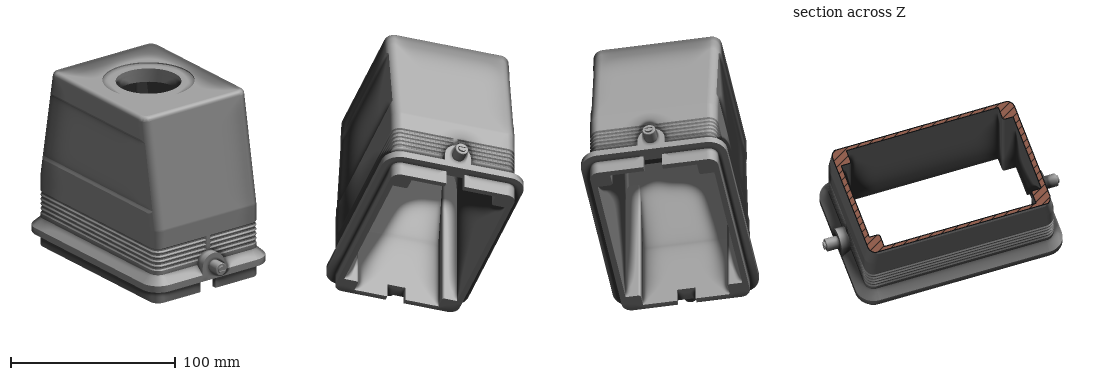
import cadquery as cq
import math

height = 118.0
body_half_x = 60.5
body_half_y = 39.5
top_half_x = 47.75
knee_z = 47.5
knee_blend_radius = 6.0
corner_radius = 6.0
top_edge_radius = 3.0

collar_half_x = 66.0
collar_half_y = 45.0
collar_bottom = 9.25
collar_edge_z = 13.5
collar_top = 18.5
collar_corner_radius = collar_half_x - body_half_x + corner_radius

groove_count = 5
groove_pitch = 3.0
groove_width = 2.5
groove_depth = 0.75
grooves_top = 35.75
grooves_bottom = grooves_top - (groove_count - 1) * groove_pitch - groove_width
web_half_width = 1.25
web_runout_radius = 3.0

panel_depth = 1.0
panel_slope_height = 2.0
panel_bottom = 57.5
panel_top = 103.5

wall = 3.5
ceiling_z = 108.5
post_inner_x = 48.5
post_width = 9.25
post_edge_radius = 1.5
entry_radius = 20.0
entry_seat_radius = 28.0
entry_seat_depth = 0.75

pin_z = 18.0
lug_radius = 8.25
pin_radius = 4.0
pin_end_x = 74.0
pin_end_chamfer = 0.3
neck_radius = 3.8
neck_length = 0.75
stub_radius = 2.5
stub_end_x = 75.25
stub_slot_width = 1.0
stub_slot_depth = 0.6
notch_half_width = 5.75


def box_between(x0, x1, y0, y1, z0, z1):
    """Box given by its limits along each axis."""
    return cq.Workplane("XY").box(x1 - x0, y1 - y0, z1 - z0, centered=False).translate((x0, y0, z0))


def rounded_block(half_x, half_y, radius, z0, z1):
    """Upright block with rounded vertical edges."""
    block = box_between(-half_x, half_x, -half_y, half_y, z0, z1)
    return block.edges("|Z").fillet(radius)


def house_block(inset, top, edge_radius):
    """Body envelope shrunk by `inset` and cut level at `top`, with blended knees and rounded corners."""
    slope = (body_half_x - top_half_x) / (height - knee_z)
    base_x = body_half_x - inset
    roof_x = base_x - slope * (top - knee_z)
    half_y = body_half_y - inset
    block = (
        cq.Workplane("XZ")
        .moveTo(-base_x, 0)
        .lineTo(base_x, 0)
        .lineTo(base_x, knee_z)
        .lineTo(roof_x, top)
        .lineTo(-roof_x, top)
        .lineTo(-base_x, knee_z)
        .close()
        .extrude(half_y, both=True)
    )
    for side in (-1, 1):
        knee = cq.selectors.NearestToPointSelector((side * base_x, 0, knee_z))
        block = block.edges(knee).fillet(knee_blend_radius)
    return block.faces("<Y or >Y").edges("not #Z").fillet(edge_radius)


def body():
    """Outer body with its rounded roof edge."""
    return house_block(0, height, corner_radius).faces(">Z").edges().fillet(top_edge_radius)


def collar():
    """Band around the body with a sloping upper face."""
    band = rounded_block(collar_half_x, collar_half_y, collar_corner_radius, collar_bottom, collar_top)
    return band.faces(">Z").edges().chamfer(collar_top - collar_edge_z, collar_half_x - body_half_x)


def sloped_slab(base_z, rise):
    """Body-sized slab whose sides lean inwards at 45 degrees; a negative rise points down."""
    return (
        cq.Workplane("XY", origin=(0, 0, base_z))
        .sketch()
        .rect(2 * body_half_x, 2 * body_half_y)
        .vertices()
        .fillet(corner_radius)
        .finalize()
        .extrude(rise, taper=45)
    )


def groove_ring(top):
    """Cutter for one trapezoidal groove running around the body."""
    bottom = top - groove_width
    ring = rounded_block(collar_half_x, collar_half_y, collar_corner_radius, bottom, top)
    floor = rounded_block(
        body_half_x - groove_depth,
        body_half_y - groove_depth,
        corner_radius - groove_depth,
        bottom,
        top,
    )
    return ring.cut(floor).cut(sloped_slab(bottom, groove_depth)).cut(sloped_slab(top, -groove_depth))


def groove_web(side):
    """Upright web in the middle of one narrow end, where the grooves run out along an arc."""
    outer_x = side * body_half_x
    root_x = side * (body_half_x - groove_depth)
    runout_angle = math.acos(1 - groove_depth / web_runout_radius)
    root_half_width = web_half_width + web_runout_radius * math.sin(runout_angle)
    mid_x = root_x + side * web_runout_radius * (1 - math.cos(runout_angle / 2))
    mid_half_width = root_half_width - web_runout_radius * math.sin(runout_angle / 2)
    return (
        cq.Workplane("XY", origin=(0, 0, grooves_bottom))
        .moveTo(root_x, -root_half_width)
        .threePointArc((mid_x, -mid_half_width), (outer_x, -web_half_width))
        .lineTo(outer_x, web_half_width)
        .threePointArc((mid_x, mid_half_width), (root_x, root_half_width))
        .close()
        .extrude(grooves_top - grooves_bottom)
    )


def side_panel(side):
    """Cutter for the shallow panel with sloping upper and lower borders on one long side."""
    face_y = side * body_half_y
    floor_y = side * (body_half_y - panel_depth)
    return (
        cq.Workplane("YZ")
        .polyline(
            [
                (face_y, panel_bottom),
                (floor_y, panel_bottom + panel_slope_height),
                (floor_y, panel_top - panel_slope_height),
                (face_y, panel_top),
            ]
        )
        .close()
        .extrude(body_half_x, both=True)
    )


def cavity():
    """Inner space: the body envelope less the wall, with a post standing in each corner."""
    space = house_block(wall, ceiling_z, corner_radius - wall)
    post_inner_y = body_half_y - wall - post_width
    for side_x in (-1, 1):
        for side_y in (-1, 1):
            x_limits = sorted((side_x * post_inner_x, side_x * body_half_x))
            y_limits = sorted((side_y * post_inner_y, side_y * body_half_y))
            post = box_between(*x_limits, *y_limits, 0, height)
            exposed_edge = cq.selectors.NearestToPointSelector(
                (side_x * post_inner_x, side_y * post_inner_y, height / 2)
            )
            space = space.cut(post.edges(exposed_edge).fillet(post_edge_radius))
    return space


def cable_entry():
    """Cutter for the round roof opening and its shallow seat."""
    opening = (
        cq.Workplane("XY", origin=(0, 0, ceiling_z))
        .circle(entry_radius)
        .extrude(height - ceiling_z)
    )
    seat = (
        cq.Workplane("XY", origin=(0, 0, height - entry_seat_depth))
        .circle(entry_seat_radius)
        .extrude(entry_seat_depth)
    )
    return opening.union(seat)


def rod(radius, x0, x1):
    """Cylinder along X on the pin axis."""
    return cq.Workplane("YZ", origin=(x0, 0, pin_z)).circle(radius).extrude(x1 - x0)


def lug_and_pin():
    """Round-topped lug with a locking pin, for the +X end."""
    root_x = body_half_x - wall
    pin_start_x = collar_half_x + neck_length
    lug = rod(lug_radius, root_x, collar_half_x)
    lug_foot = box_between(root_x, collar_half_x, -lug_radius, lug_radius, collar_bottom, pin_z)
    neck = rod(neck_radius, root_x, pin_start_x)
    pin = rod(pin_radius, pin_start_x, pin_end_x).faces(">X").chamfer(pin_end_chamfer)
    stub = rod(stub_radius, pin_start_x, stub_end_x)
    slot = box_between(
        stub_end_x - stub_slot_depth,
        stub_end_x,
        -stub_radius,
        stub_radius,
        pin_z - stub_slot_width / 2,
        pin_z + stub_slot_width / 2,
    )
    return lug.union(lug_foot).union(neck).union(pin).union(stub.cut(slot))


def bottom_notches():
    """Cutter for the notches through both narrow ends, below the collar."""
    return box_between(
        -body_half_x, body_half_x, -notch_half_width, notch_half_width, 0, collar_bottom
    )


result = body()
for index in range(groove_count):
    result = result.cut(groove_ring(grooves_top - index * groove_pitch))
for side in (-1, 1):
    result = result.union(groove_web(side))
    result = result.cut(side_panel(side))
result = result.union(collar())
right_lug = lug_and_pin()
result = result.union(right_lug).union(right_lug.mirror("YZ"))
result = result.cut(cavity()).cut(cable_entry()).cut(bottom_notches())